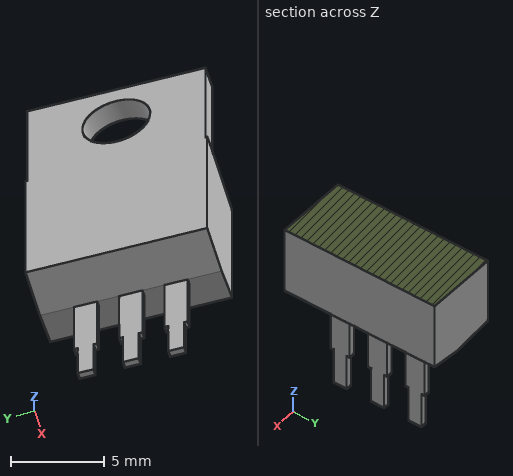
import cadquery as cq
import math

total_height = 21.7

tab_thickness = 1.3
tab_width = 10.0
hole_diameter = 3.8
hole_drop = 3.0

body_depth = 4.7
body_width = 10.2
body_top = 15.17
body_back_bottom = 6.58
body_front_bottom = 6.5
parting_x = 2.73
parting_bottom = 6.3
top_draft_angle = 7.0

lead_count = 3
lead_pitch = 2.54
lead_thickness = 0.4
lead_shoulder_width = 1.3
lead_tip_width = 0.9
lead_tip_length = 2.35


def make_body():
    """Side profile with a sloping top and a shallow V bottom, extruded along Y."""
    top_drop = (body_depth - tab_thickness) * math.tan(math.radians(top_draft_angle))
    profile = [
        (0, body_back_bottom),
        (parting_x, parting_bottom),
        (body_depth, body_front_bottom),
        (body_depth, body_top - top_drop),
        (tab_thickness, body_top),
        (0, body_top),
    ]
    return cq.Workplane("XZ").polyline(profile).close().extrude(body_width / 2, both=True)


def make_tab():
    """Plate rising from the back of the body, with a round mounting hole."""
    plate = cq.Workplane("XY", origin=(0, 0, body_top)).box(
        tab_thickness, tab_width, total_height - body_top, centered=(False, True, False)
    )
    hole = (
        cq.Workplane("YZ", origin=(0, 0, total_height - hole_drop))
        .circle(hole_diameter / 2)
        .extrude(tab_thickness)
    )
    return plate.cut(hole)


def make_lead(y):
    """Flat lead with a wide shoulder, overlapping the body, and a narrower tip."""
    shoulder_length = body_back_bottom - lead_tip_length
    base = cq.Workplane("XY", origin=(parting_x, y, 0))
    tip = base.box(lead_thickness, lead_tip_width, lead_tip_length, centered=(False, True, False))
    shoulder = base.workplane(offset=lead_tip_length).box(
        lead_thickness, lead_shoulder_width, shoulder_length, centered=(False, True, False)
    )
    return tip.union(shoulder)


result = make_body().union(make_tab())
for index in range(lead_count):
    lead_y = (index - (lead_count - 1) / 2) * lead_pitch
    result = result.union(make_lead(lead_y))